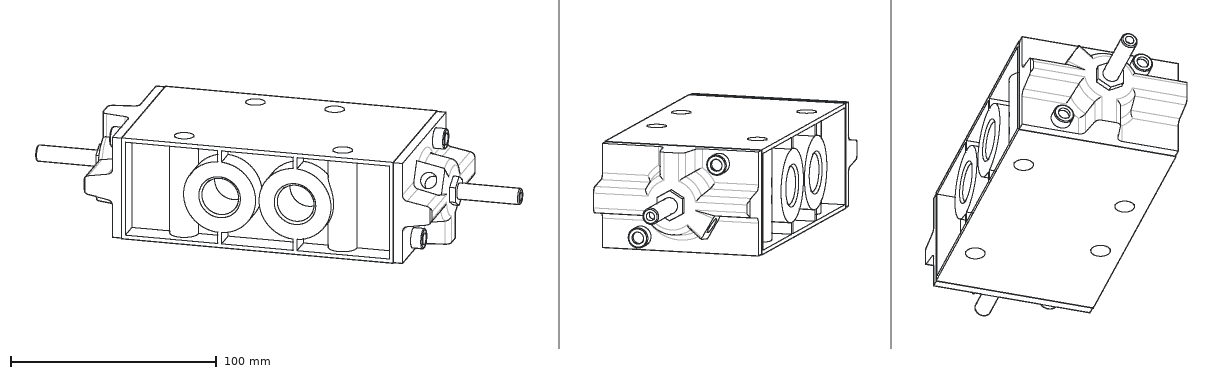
import cadquery as cq
import math

total_length = 244.0
body_width = 80.0
body_height = 52.0
body_half_length = 68.5
flange_face_x = 73.2
cover_inset = 0.2
cover_face_x = 87.8
cover_width = body_width - 2 * cover_inset
cover_height = body_height - 2 * cover_inset

pocket_length = 133.2
pocket_height = 47.8
pocket_depth = 12.0
port_x = 19.0
tower_diameter = 36.4
port_diameter = 18.5
port_mouth_diameter = 21.0
port_depth = 24.5
web_thickness = 2.0
column_radius = 7.0

mount_hole_diameter = 9.5
mount_hole_y = 28.8
front_hole_x = 40.0
back_hole_x = 20.0

draft_angle = math.radians(10)
flank_round = 3.0
hub_flat_radius = 12.5
wide_rib_flat = 3.7
narrow_rib_flat = 2.0
tip_bevel_drop = 0.7
tip_bevel_run = 1.2

lug_angle = 30.0
lug_reach = 21.2
lug_half_width = 6.5
lug_edge_round = 1.0
lug_hole_diameter = 8.0
lug_hole_depth = 9.5

screw_head_diameter = 10.0
screw_head_height = 5.5
screw_head_chamfer = 0.5
screw_socket_diameter = 5.9
screw_socket_depth = 2.0
screw_y = 20.0
screw_z = 19.0

rod_diameter = 8.0
rod_chamfer = 0.6
rod_hole_diameter = 4.1
rod_hole_depth = 5.0
nut_across_flats = 13.0
nut_thickness = 3.0

cover_rise = cover_face_x - flange_face_x
flank_run = (
    2 * flank_round * math.cos(draft_angle)
    + (cover_rise - 2 * flank_round * (1 - math.sin(draft_angle))) * math.tan(draft_angle)
)


def end_plane(x):
    """Plane across the -X end, facing outwards; its local x is -Y and its local y is +Z."""
    return cq.Plane(origin=(-x, 0, 0), xDir=(0, -1, 0), normal=(-1, 0, 0))


def drill(diameter, depth):
    """Drill shape along +X from the origin, ending in a 90 degree cone."""
    radius = diameter / 2
    points = [(0, 0), (depth + radius, 0), (depth, radius), (0, radius)]
    return cq.Workplane("XY").polyline(points).close().revolve(360, (0, 0), (1, 0))


def make_body():
    body = cq.Workplane("XY").box(2 * body_half_length, body_width, body_height)
    front_y = -body_width / 2
    floor_y = front_y + pocket_depth
    floor = cq.Workplane("XZ", origin=(0, floor_y, 0))
    body = body.cut(floor.rect(pocket_length, pocket_height).extrude(pocket_depth))

    ports = [(-port_x, 0), (port_x, 0)]
    port_places = floor.pushPoints(ports)
    body = body.union(port_places.circle(tower_diameter / 2).extrude(pocket_depth))
    body = body.union(port_places.rect(web_thickness, pocket_height).extrude(pocket_depth))

    front_holes = [(-front_hole_x, -mount_hole_y), (front_hole_x, -mount_hole_y)]
    back_holes = [(-back_hole_x, mount_hole_y), (back_hole_x, mount_hole_y)]
    bottom = cq.Workplane("XY", origin=(0, 0, -body_height / 2))
    body = body.union(bottom.pushPoints(front_holes).circle(column_radius).extrude(body_height))
    holes = bottom.pushPoints(front_holes + back_holes).circle(mount_hole_diameter / 2)
    body = body.cut(holes.extrude(body_height))

    mouth_chamfer = (port_mouth_diameter - port_diameter) / 2
    for x, z in ports:
        plane = cq.Workplane("XZ", origin=(x, front_y, z))
        port = plane.circle(port_diameter / 2).extrude(-port_depth)
        mouth = plane.circle(port_mouth_diameter / 2).extrude(-mouth_chamfer, taper=45)
        body = body.cut(port).cut(mouth)
    return body


def draw_flank(sketch, flat):
    """Draw from the flat top edge down to the flange: round, drafted wall, then foot fillet."""
    side = flank_round * math.cos(draft_angle)
    drop = flank_round * (1 - math.sin(draft_angle))
    middle = (math.pi / 2 + draft_angle) / 2
    mid_side = flank_round * math.sin(middle)
    mid_drop = flank_round * (1 - math.cos(middle))
    foot = flat + flank_run
    return (
        sketch.threePointArc((flat + mid_side, cover_rise - mid_drop), (flat + side, cover_rise - drop))
        .lineTo(foot - side, drop)
        .threePointArc((foot - mid_side, mid_drop), (foot, 0))
    )


def make_hub():
    plane = cq.Plane(origin=(-flange_face_x, 0, 0), xDir=(0, 1, 0), normal=(0, 0, 1))
    sketch = cq.Workplane(plane).moveTo(0, cover_rise).lineTo(hub_flat_radius, cover_rise)
    sketch = draw_flank(sketch, hub_flat_radius).lineTo(0, 0).close()
    return sketch.revolve(360, (0, 0), (0, 1))


def make_rib(direction, flat, length):
    """Rib running from the rod axis along Y or Z, built as two mirrored halves."""
    side = cq.Vector(-1, 0, 0).cross(cq.Vector(*direction))
    plane = cq.Plane(origin=(-flange_face_x, 0, 0), xDir=side, normal=direction)
    sketch = cq.Workplane(plane).moveTo(0, cover_rise).lineTo(flat, cover_rise)
    half = draw_flank(sketch, flat).lineTo(0, 0).close().extrude(length)
    other_half = half.mirror("XY" if direction[1] else "XZ")
    return half.union(other_half)


def make_rib_tip_cut():
    """Wedge that bevels the outer end of the narrow rib."""
    tip_y = -cover_width / 2
    corners = [
        (-cover_face_x, tip_y),
        (-cover_face_x + tip_bevel_drop, tip_y),
        (-cover_face_x, tip_y + tip_bevel_run),
    ]
    wedge = cq.Workplane("XY").polyline(corners).close()
    return wedge.extrude(cover_rise, both=True)


def make_lug():
    """Flared lug drawn along -Y, then turned down about the rod axis."""
    root_half_width = lug_half_width - lug_reach * math.tan(draft_angle)
    far = 2 * lug_reach
    far_half_width = 2 * lug_half_width - root_half_width
    outline = [
        (0, root_half_width),
        (far, far_half_width),
        (far, -far_half_width),
        (0, -root_half_width),
    ]
    plane = cq.Plane(origin=(-cover_face_x, 0, 0), xDir=(0, -1, 0), normal=(1, 0, 0))
    lug = cq.Workplane(plane).polyline(outline).close()
    lug = lug.extrude(cover_rise, taper=-math.degrees(draft_angle))
    keep = cq.Workplane("XY").box(4 * cover_rise, lug_reach, body_height)
    keep = keep.translate((-cover_face_x, -lug_reach / 2, 0))
    lug = lug.intersect(keep)
    lug = lug.faces("<X").edges("not |Z").fillet(lug_edge_round)
    return lug.rotate((0, 0, 0), (1, 0, 0), lug_angle)


def make_lug_hole():
    hole = cq.Workplane("XZ", origin=(-(cover_face_x + flange_face_x) / 2, -lug_reach, 0))
    hole = hole.circle(lug_hole_diameter / 2).extrude(-lug_hole_depth)
    return hole.rotate((0, 0, 0), (1, 0, 0), lug_angle)


def make_screw(y, z):
    head = cq.Workplane(end_plane(flange_face_x)).circle(screw_head_diameter / 2)
    head = head.extrude(screw_head_height).faces("<X").edges().chamfer(screw_head_chamfer)
    socket = drill(screw_socket_diameter, screw_socket_depth)
    head = head.cut(socket.translate((-flange_face_x - screw_head_height, 0, 0)))
    return head.translate((0, y, z))


def make_cover():
    """Cover of the -X end, with its screws and rod nut."""
    flange = cq.Workplane(end_plane(body_half_length)).rect(cover_width, cover_height)
    cover = flange.extrude(flange_face_x - body_half_length)
    cover = cover.union(make_hub())
    cover = cover.union(make_rib((0, 0, 1), wide_rib_flat, cover_height / 2))
    cover = cover.union(make_rib((0, 1, 0), wide_rib_flat, cover_width / 2))
    narrow_rib = make_rib((0, -1, 0), narrow_rib_flat, cover_width / 2)
    cover = cover.union(narrow_rib.cut(make_rib_tip_cut()))
    cover = cover.union(make_lug()).cut(make_lug_hole())
    cover = cover.union(make_screw(-screw_y, screw_z)).union(make_screw(screw_y, -screw_z))
    nut = cq.Workplane(end_plane(cover_face_x)).polygon(6, nut_across_flats, circumscribed=True)
    nut = nut.extrude(nut_thickness)
    return cover.union(nut)


def make_rod():
    rod = cq.Workplane(end_plane(cover_face_x)).circle(rod_diameter / 2)
    rod = rod.extrude(total_length / 2 - cover_face_x).faces("<X").edges().chamfer(rod_chamfer)
    hole = drill(rod_hole_diameter, rod_hole_depth)
    return rod.cut(hole.translate((-total_length / 2, 0, 0)))


end_assembly = make_cover().union(make_rod())
turned_assembly = end_assembly.rotate((0, 0, 0), (0, 1, 0), 180)

result = make_body().union(end_assembly).union(turned_assembly)